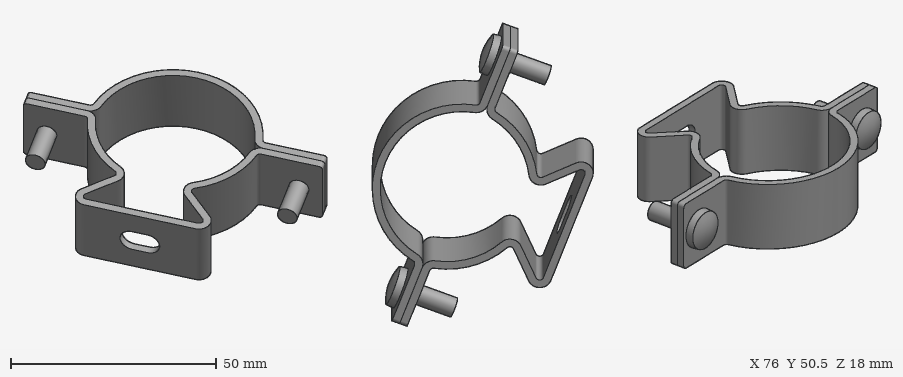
import cadquery as cq
import math

ear_span = 76.0
strap_width = 18.0
strap_thickness = 2.0
foot_depth = 30.5

ring_inner_radius = 20.0
bend_inner_radius = 1.0
neck_opening = 15.3
foot_wall_angle = math.radians(45)
ear_corner_radius = 1.0

slot_length = 10.0
slot_height = 6.2

bolt_spacing = 64.0
shank_diameter = 5.0
shank_reach = 12.0
head_base_diameter = 10.25
head_rim_diameter = 9.9
head_rim_height = 2.0
head_height = 3.05

half_span = ear_span / 2
half_thickness = strap_thickness / 2
ring_radius = ring_inner_radius + half_thickness
bend_radius = bend_inner_radius + half_thickness
ring_offset = strap_thickness
bolt_places = [-bolt_spacing / 2, bolt_spacing / 2]


def on_circle(center, radius, angle):
    """Point at the given angle on a circle."""
    return (center[0] + radius * math.cos(angle), center[1] + radius * math.sin(angle))


def mirror_x(point):
    """Point on the other side of the YZ plane."""
    return (-point[0], point[1])


def mirror_arc(arc):
    """Arc on the other side of the YZ plane, run in the opposite direction."""
    return [mirror_x(point) for point in reversed(arc)]


def arc_points(center, radius, start_angle, end_angle):
    """Start, middle and end point of an arc."""
    angles = (start_angle, (start_angle + end_angle) / 2, end_angle)
    return [on_circle(center, radius, angle) for angle in angles]


ring_center = (0, ring_offset)
ear_y = -half_thickness
ear_bend_y = ear_y - bend_radius
ear_bend_drop = ring_offset - ear_bend_y
ear_bend_x = math.sqrt((ring_radius + bend_radius) ** 2 - ear_bend_drop**2)
ear_angle = -math.atan2(ear_bend_drop, ear_bend_x)
ear_bend = arc_points((ear_bend_x, ear_bend_y), bend_radius, math.pi / 2, ear_angle + math.pi)

neck_x = neck_opening / 2 + bend_radius + half_thickness
neck_angle = -math.acos(neck_x / (ring_radius + bend_radius))
neck_center = on_circle(ring_center, ring_radius + bend_radius, neck_angle)
wall_normal_angle = math.pi + foot_wall_angle
neck_bend = arc_points(neck_center, bend_radius, neck_angle + math.pi, wall_normal_angle)

foot_y = -foot_depth + half_thickness
foot_bend_y = foot_y + bend_radius
wall_drop = neck_center[1] - foot_bend_y - 2 * bend_radius * math.sin(foot_wall_angle)
wall_run = wall_drop / math.tan(foot_wall_angle)
foot_bend_x = neck_x + wall_run - 2 * bend_radius * math.cos(foot_wall_angle)
foot_bend = arc_points((foot_bend_x, foot_bend_y), bend_radius, foot_wall_angle, -math.pi / 2)


def sweep_strap(path):
    """Sweep the strip section along a centreline that starts at an ear tip."""
    section = cq.Workplane("YZ", origin=path.val().startPoint().toTuple())
    return section.rect(strap_thickness, strap_width).sweep(path)


def finish_ears(strap):
    """Round the ear corners and drill a bolt hole through each ear."""
    strap = strap.faces("<X or >X").edges("|Y").fillet(ear_corner_radius)
    holes = (
        cq.Workplane("XZ")
        .pushPoints([(x, 0) for x in bolt_places])
        .circle(shank_diameter / 2)
        .extrude(strap_thickness, both=True)
    )
    return strap.cut(holes)


def make_upper_strap():
    """Ring arc with a flat ear at each end, laid out below the joint plane and mirrored up."""
    path = (
        cq.Workplane("XY")
        .moveTo(half_span, ear_y)
        .lineTo(*ear_bend[0])
        .threePointArc(*ear_bend[1:])
        .threePointArc(on_circle(ring_center, ring_radius, -math.pi / 2), mirror_x(ear_bend[2]))
        .threePointArc(*mirror_arc(ear_bend)[1:])
        .lineTo(-half_span, ear_y)
        .wire()
    )
    return finish_ears(sweep_strap(path)).mirror("XZ")


def cut_foot_slot(strap):
    """Cut the fixing slot through the back of the foot."""
    slot = (
        cq.Workplane("XZ", origin=(0, foot_y, 0))
        .slot2D(slot_length, slot_height)
        .extrude(strap_thickness, both=True)
    )
    return strap.cut(slot)


def make_lower_strap():
    """Two ring arcs with ears, joined by a dovetail foot."""
    ring_middle = on_circle(ring_center, ring_radius, (ear_angle + neck_angle) / 2)
    path = (
        cq.Workplane("XY")
        .moveTo(half_span, ear_y)
        .lineTo(*ear_bend[0])
        .threePointArc(*ear_bend[1:])
        .threePointArc(ring_middle, neck_bend[0])
        .threePointArc(*neck_bend[1:])
        .lineTo(*foot_bend[0])
        .threePointArc(*foot_bend[1:])
        .lineTo(*mirror_x(foot_bend[2]))
        .threePointArc(*mirror_arc(foot_bend)[1:])
        .lineTo(*mirror_x(neck_bend[2]))
        .threePointArc(*mirror_arc(neck_bend)[1:])
        .threePointArc(mirror_x(ring_middle), mirror_x(ear_bend[2]))
        .threePointArc(*mirror_arc(ear_bend)[1:])
        .lineTo(-half_span, ear_y)
        .wire()
    )
    return cut_foot_slot(finish_ears(sweep_strap(path)))


def make_bolt(x):
    """Bolt along Y with a bulged head rim and a domed top, its head on the upper ear."""
    base_radius = head_base_diameter / 2
    rim_radius = head_rim_diameter / 2
    shank_radius = shank_diameter / 2
    top_y = strap_thickness + head_height
    dome_height = head_height - head_rim_height
    dome_radius = (rim_radius**2 + dome_height**2) / (2 * dome_height)
    dome_center = (0, top_y - dome_radius)
    dome_half_angle = math.asin(rim_radius / dome_radius)
    dome = arc_points(dome_center, dome_radius, math.pi / 2 - dome_half_angle, math.pi / 2)
    rim_middle = (base_radius - (base_radius - rim_radius) / 4, strap_thickness + head_rim_height / 2)
    profile = (
        cq.Workplane("XY")
        .moveTo(0, -shank_reach)
        .lineTo(shank_radius, -shank_reach)
        .lineTo(shank_radius, strap_thickness)
        .lineTo(base_radius, strap_thickness)
        .threePointArc(rim_middle, dome[0])
        .threePointArc(*dome[1:])
        .close()
    )
    return profile.revolve(360, (0, 0, 0), (0, 1, 0)).translate((x, 0, 0))


upper_strap = make_upper_strap()
lower_strap = make_lower_strap()
bolts = [make_bolt(x) for x in bolt_places]

result = cq.Compound.makeCompound(
    [
        upper_strap.val(),
        lower_strap.val(),
        *[bolt.val() for bolt in bolts],
    ]
)